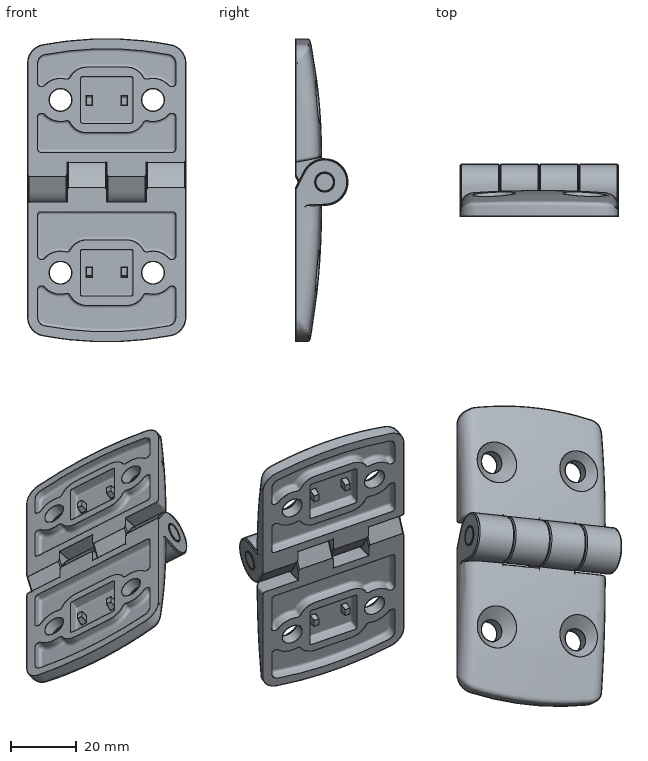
import cadquery as cq
import math


width = 48.0
half_width = width / 2
barrel_radius = 7.1
back_y = -8.8
upper_length = 43.5
lower_length = 48.5
upper_hole_height = 24.9
lower_hole_height = 27.5

plate_start = 5.5
crest_height = 8.3
crest_thickness = 7.9
tip_thickness = 4.3
dome_drop = 1.0
side_radius = 4.4
corner_radius = 5.7
tip_bow = 2.85
tip_edge_radius = 1.3

knuckle_count = 4
knuckle_gap = 0.1
knuckle_pitch = width / knuckle_count
knuckle_chamfer = 0.4
heel_height = 1.7
root_height = 8.1
root_depth = 2.8
shoulder_height = 7.3
shoulder_depth = 3.8
slot_back_height = 6.0
slot_slope = 11.0
slot_edge_radius = 0.7

pin_radius = 3.0
pin_chamfer = 0.2

hole_radius = 3.4
hole_x = 14.03
countersink_start = 3.7
countersink_angle = 90.0

rim = 3.0
pocket_depth = 2.85
pocket_start = 9.0
pocket_corner_radius = 1.1
pocket_floor_radius = 0.9
boss_radius = 6.5
neck_half_height = 4.05
island_half_width = 11.8
island_half_height = 9.9
island_corner_radius = 5.7

window_width = 16.0
window_height = 14.2
window_depth = 3.3
window_corner_radius = 0.7
window_floor_radius = 0.55
clip_width = 1.9
clip_height = 3.1
clip_length = 2.4
clip_x = 5.29
clip_drop = 0.2
clip_draft = 0.2
clip_tip_slope = 0.55


def back_plane(depth=0.0):
    """Sketch plane parallel to the back face with +X right, +Z up and -Y as its normal."""
    return cq.Workplane("XZ", origin=(0, back_y + depth, 0))


def along_hinge(x_start):
    """Sketch plane across the hinge axis whose local axes are Y and Z."""
    return cq.Workplane("YZ", origin=(x_start, 0, 0))


def leaf_outline(length, start, inset):
    """Solid leaf outline with a bowed tip and round tip corners, moved inwards by inset."""
    side = half_width - inset
    tip = length - inset
    bow_radius = (half_width**2 + tip_bow**2) / (2 * tip_bow) - inset
    side_top = tip - bow_radius + math.sqrt(bow_radius**2 - side**2)
    return (
        back_plane()
        .moveTo(-side, start)
        .lineTo(-side, side_top)
        .threePointArc((0, tip), (side, side_top))
        .lineTo(side, start)
        .close()
        .extrude(-2 * crest_thickness)
        .edges("|Y")
        .edges(">Z")
        .fillet(corner_radius - inset)
    )


def dome(length):
    """Crowned section with round sides, turned about an axis that gives the tip its thickness."""
    fall = crest_thickness - tip_thickness
    run = length - crest_height
    sweep_radius = (run**2 + fall**2) / (2 * fall)
    crest_y = back_y + crest_thickness
    axis_y = crest_y - sweep_radius
    bottom_y = back_y - crest_thickness
    shoulder_left = (-half_width, crest_y - dome_drop)
    shoulder_right = (half_width, crest_y - dome_drop)
    section = (
        cq.Sketch()
        .arc(shoulder_left, (0, crest_y), shoulder_right)
        .segment((half_width, bottom_y))
        .segment((-half_width, bottom_y))
        .close()
        .assemble()
        .vertices(">Y")
        .fillet(side_radius)
    )
    return (
        cq.Workplane("XY", origin=(0, 0, crest_height))
        .placeSketch(section)
        .revolve(360, (0, axis_y, 0), (1, axis_y, 0))
    )


def plate(length):
    """Domed plate with a rounded edge around its tip."""
    blank = leaf_outline(length, plate_start, 0).intersect(dome(length))
    return blank.faces(">Z").edges(">Y").fillet(tip_edge_radius)


def knuckle(x_start, x_end):
    """Barrel running tangentially into the back face, with a root that joins the plate."""
    heel_distance = math.hypot(back_y, heel_height)
    heel_angle = math.atan2(heel_height, back_y)
    tangent_angle = heel_angle + math.acos(barrel_radius / heel_distance)
    tangent_point = (barrel_radius * math.cos(tangent_angle), barrel_radius * math.sin(tangent_angle))
    return (
        along_hinge(x_start)
        .moveTo(back_y, heel_height)
        .lineTo(*tangent_point)
        .threePointArc((barrel_radius, 0), (0, barrel_radius))
        .lineTo(back_y + shoulder_depth, shoulder_height)
        .lineTo(back_y + root_depth, root_height)
        .lineTo(back_y, root_height)
        .close()
        .extrude(x_end - x_start)
        .faces("|X")
        .edges(
            cq.selectors.BoxSelector(
                (-width, back_y + knuckle_chamfer, -barrel_radius),
                (width, barrel_radius, root_height - knuckle_chamfer),
            )
        )
        .chamfer(knuckle_chamfer)
    )


def slot(x_start, x_end):
    """Clearance for a knuckle of the other leaf, with a slanted end wall."""
    front_y = barrel_radius
    rise = (front_y - back_y) * math.tan(math.radians(slot_slope))
    return (
        along_hinge(x_start)
        .moveTo(back_y, -barrel_radius)
        .lineTo(back_y, slot_back_height)
        .lineTo(front_y, slot_back_height + rise)
        .lineTo(front_y, -barrel_radius)
        .close()
        .extrude(x_end - x_start)
    )


def island(hole_height):
    """Full-height land around the screw holes and the clip window."""
    middle = (
        back_plane()
        .center(0, hole_height)
        .rect(2 * island_half_width, 2 * island_half_height)
        .extrude(-pocket_depth)
        .edges("|Y")
        .fillet(island_corner_radius)
    )
    neck = back_plane().center(0, hole_height).rect(width, 2 * neck_half_height).extrude(-pocket_depth)
    bosses = (
        back_plane()
        .pushPoints([(-hole_x, hole_height), (hole_x, hole_height)])
        .circle(boss_radius)
        .extrude(-pocket_depth)
    )
    return middle.union(neck).union(bosses)


def pockets(length, hole_height):
    """The two lightening pockets on either side of the island."""
    slab = back_plane().center(0, length / 2).rect(width, 2 * length).extrude(-pocket_depth)
    area = leaf_outline(length, pocket_start, rim).intersect(slab).cut(island(hole_height))
    below_tip_corners = cq.selectors.BoxSelector(
        (-width, back_y, 0),
        (width, back_y + pocket_depth, hole_height + island_half_height + pocket_corner_radius),
    )
    area = area.edges("|Y").edges(below_tip_corners).fillet(pocket_corner_radius)
    return area.faces(">Y").edges().fillet(pocket_floor_radius)


def clip_window(hole_height):
    """Rectangular recess that houses the clips."""
    return (
        back_plane()
        .center(0, hole_height)
        .rect(window_width, window_height)
        .extrude(-window_depth)
        .edges("|Y")
        .fillet(window_corner_radius)
        .faces(">Y")
        .edges()
        .fillet(window_floor_radius)
    )


def screw_holes(hole_height):
    """Two through holes, countersunk from the domed front."""
    cone_depth = crest_thickness - countersink_start
    cone_radius = hole_radius + cone_depth * math.tan(math.radians(countersink_angle / 2))
    holes = cq.Workplane()
    for x in (-hole_x, hole_x):
        shaft = cq.Solid.makeCylinder(
            hole_radius, crest_thickness, cq.Vector(x, back_y, hole_height), cq.Vector(0, 1, 0)
        )
        cone = cq.Solid.makeCone(
            hole_radius,
            cone_radius,
            cone_depth,
            cq.Vector(x, back_y + countersink_start, hole_height),
            cq.Vector(0, 1, 0),
        )
        holes = holes.add(shaft.fuse(cone))
    return holes.combine()


def pin_hole():
    """Bore for the hinge pin through the whole width."""
    return along_hinge(-half_width).circle(pin_radius).extrude(width)


def pin():
    """Hinge pin, flush with the outer knuckle faces and chamfered at both ends."""
    return pin_hole().faces("|X").edges().chamfer(pin_chamfer).solids()


def knuckle_span(place):
    """Ends of one knuckle along X, with half the gap left on each side that has a neighbour."""
    x_start = -half_width + place * knuckle_pitch
    x_end = x_start + knuckle_pitch
    if place > 0:
        x_start += knuckle_gap / 2
    if place < knuckle_count - 1:
        x_end -= knuckle_gap / 2
    return x_start, x_end


def cut_slot(body, place):
    """Cut one slot and round the front and side edges of its end wall."""
    x_start, x_end = knuckle_span(place)
    x_start -= knuckle_gap
    x_end += knuckle_gap
    end_wall_edges = cq.selectors.BoxSelector(
        (x_start + slot_edge_radius, back_y + slot_edge_radius, plate_start),
        (x_end - slot_edge_radius, barrel_radius, root_height),
    )
    outer_side_edges = cq.selectors.BoxSelector(
        (half_width - slot_edge_radius, back_y + slot_edge_radius, plate_start),
        (half_width + slot_edge_radius, barrel_radius, root_height),
    )
    body = body.cut(slot(x_start, x_end))
    if place == knuckle_count - 1:
        return body.edges(end_wall_edges + outer_side_edges).fillet(slot_edge_radius)
    return body.edges(end_wall_edges).fillet(slot_edge_radius)


def leaf(length, hole_height):
    """Leaf with knuckles in the first and third places along the hinge and slots in the others."""
    body = plate(length)
    for place in range(1, knuckle_count, 2):
        body = cut_slot(body, place)
    for place in range(0, knuckle_count, 2):
        body = body.union(knuckle(*knuckle_span(place)))
    body = body.cut(pockets(length, hole_height))
    body = body.cut(clip_window(hole_height))
    body = body.cut(screw_holes(hole_height))
    return body.cut(pin_hole()).solids()


def clip(x, hole_height):
    """Tapered clip standing on the floor of the clip window, sloping most on its side away from the hinge."""
    tip_width = clip_width - 2 * clip_draft
    tip_height = clip_height - clip_draft - clip_tip_slope
    tip_shift = (clip_draft - clip_tip_slope) / 2
    return (
        back_plane(window_depth)
        .center(x, hole_height - clip_drop)
        .rect(clip_width, clip_height)
        .workplane(offset=clip_length)
        .center(0, tip_shift)
        .rect(tip_width, tip_height)
        .loft(ruled=True)
    )


def turned_down(body):
    """The body turned half a turn about Y, so that it hangs below the hinge axis."""
    return body.rotate((0, 0, 0), (0, 1, 0), 180)


upper_leaf = leaf(upper_length, upper_hole_height)
lower_leaf = turned_down(leaf(lower_length, lower_hole_height))
hinge_pin = pin().faces("|X").edges().chamfer(pin_chamfer)

clips = []
for x in (-clip_x, clip_x):
    clips.append(clip(x, upper_hole_height))
    clips.append(turned_down(clip(x, lower_hole_height)))

result = cq.Compound.makeCompound(
    [upper_leaf.val(), lower_leaf.val(), hinge_pin.val(), *[single_clip.val() for single_clip in clips]]
)